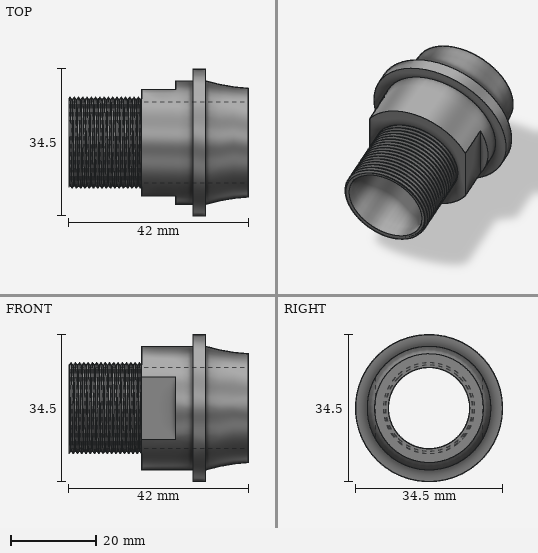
import cadquery as cq
import math

thread_length = 17.0
body_length = 12.0
flange_length = 3.0
nose_length = 10.0

bore_diameter = 19.0
thread_core_diameter = 20.25
thread_crest_diameter = 21.35
body_diameter = 29.0
flange_diameter = 34.5
nose_end_diameter = 25.5

nose_sagitta = 0.3

flat_length = 8.0
across_flats = 25.0

thread_turns = 17
thread_pitch = thread_length / thread_turns
ridge_base_width = 0.8
ridge_embed = 0.15

body_start = thread_length
flange_start = body_start + body_length
nose_start = flange_start + flange_length
total_length = nose_start + nose_length


def cylinder(start, length, diameter):
    return cq.Workplane("YZ", origin=(start, 0, 0)).circle(diameter / 2).extrude(length)


def make_nose():
    """Revolve the hollow tapered profile of the nose."""
    start_radius = body_diameter / 2
    end_radius = nose_end_diameter / 2
    chord = math.hypot(nose_length, start_radius - end_radius)
    middle = (
        (nose_start + total_length) / 2 - nose_sagitta * (start_radius - end_radius) / chord,
        (start_radius + end_radius) / 2 - nose_sagitta * nose_length / chord,
    )
    return (
        cq.Workplane("XY")
        .moveTo(nose_start, 0)
        .lineTo(nose_start, start_radius)
        .threePointArc(middle, (total_length, end_radius))
        .lineTo(total_length, 0)
        .close()
        .revolve(360, (0, 0, 0), (1, 0, 0))
    )


def make_body():
    """Round body with two flats next to the thread."""
    body = cylinder(body_start, body_length, body_diameter)
    flat_zone = cylinder(body_start, flat_length, flange_diameter)
    flat_zone = flat_zone.cut(
        cq.Workplane("XY")
        .box(flat_length, across_flats, flange_diameter)
        .translate((body_start + flat_length / 2, 0, 0))
    )
    return body.cut(flat_zone)


def make_thread():
    """Helical ridge trimmed at the end face and at the body shoulder."""
    core_radius = thread_core_diameter / 2
    crest_radius = thread_crest_diameter / 2
    root_radius = core_radius - ridge_embed
    root_half_width = ridge_base_width / 2 * (crest_radius - root_radius) / (crest_radius - core_radius)
    helix_height = thread_length + 2 * thread_pitch
    helix = cq.Wire.makeHelix(thread_pitch, helix_height, core_radius)
    ridge = (
        cq.Workplane("XZ")
        .polyline([
            (root_radius, -root_half_width),
            (crest_radius, 0),
            (root_radius, root_half_width),
        ])
        .close()
        .sweep(cq.Workplane(obj=helix), isFrenet=True)
        .translate((0, 0, -thread_pitch))
        .rotate((0, 0, 0), (0, 1, 0), 90)
    )
    overshoot = 2 * thread_pitch
    core_length = thread_length + 2 * overshoot
    core = cylinder(-overshoot, core_length, thread_core_diameter)
    core = core.cut(cylinder(-overshoot, core_length, bore_diameter))
    threaded_tube = core.union(ridge)
    return threaded_tube.intersect(cylinder(0, thread_length, flange_diameter))


result = (
    make_body()
    .union(cylinder(flange_start, flange_length, flange_diameter))
    .union(make_nose())
    .cut(cylinder(body_start, total_length - body_start, bore_diameter))
    .union(make_thread())
)